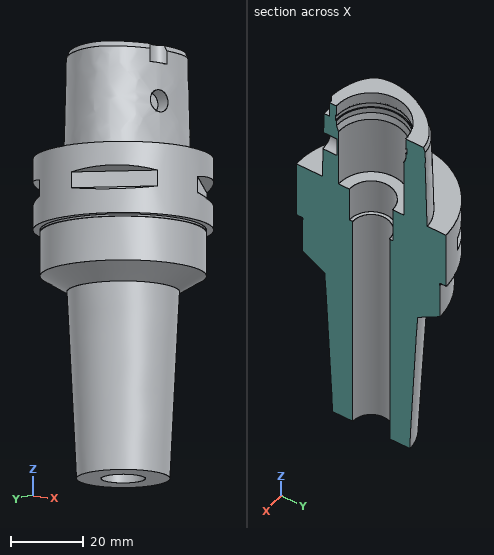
import cadquery as cq
import math

total_height = 120.0
shank_length = 30.0
flange_height = 20.0
neck_bottom_z = 57.0
cone_bottom_z = 52.5
shank_base_z = total_height - shank_length
flange_bottom_z = shank_base_z - flange_height

flange_radius = 50.0 / 2
neck_radius = 46.1 / 2
nose_top_radius = 15.6
nose_tip_radius = 13.0
undercut_depth = 0.2
undercut_height = 0.6

shank_base_radius = 17.58
shank_taper = 1 / 40
lobe_height = 1.2
outline_point_count = 48
shank_chamfer_height = 1.5
shank_chamfer_width = 0.6

mouth_radius = 11.5
groove_radius = 11.9
groove_top_depth = 4.0
groove_bottom_depth = 5.8
seat_top_depth = 7.7
seat_bottom_depth = 9.6
inner_radius = 10.8
inner_depth = shank_length
pilot_radius = 7.2
pilot_depth = 42.0
through_radius = 6.1

notch_radius = 3.6
notch_center_y = -17.5
notch_depth = 5.3
index_radius = 3.1
index_depth = 16.1
index_floor_y = -11.4

flat_count = 4
flat_distance = 22.0
flat_height = 4.5
flat_mouth_height = 6.7
flat_center_z = 80.0


def revolve_profile(points):
    """Revolve (radius, z) points about the Z axis."""
    return cq.Workplane("XZ").polyline(points).close().revolve(360, (0, 0, 0), (0, 1, 0))


def polygon_wire(mean_radius, z):
    """Three-lobed constant-width outline with a lobe toward +Y."""
    points = []
    for index in range(outline_point_count):
        angle = 2 * math.pi * index / outline_point_count
        radial = mean_radius - lobe_height * math.sin(3 * angle)
        tangential = -3 * lobe_height * math.cos(3 * angle)
        points.append(cq.Vector(
            radial * math.cos(angle) - tangential * math.sin(angle),
            radial * math.sin(angle) + tangential * math.cos(angle),
            z,
        ))
    return cq.Wire.assembleEdges([cq.Edge.makeSpline(points, periodic=True)])


def make_shank():
    chamfer_z = total_height - shank_chamfer_height
    chamfer_radius = shank_base_radius - shank_taper * (chamfer_z - shank_base_z)
    base = polygon_wire(shank_base_radius, shank_base_z)
    shoulder = polygon_wire(chamfer_radius, chamfer_z)
    top = polygon_wire(chamfer_radius - shank_chamfer_width, total_height)
    return cq.Workplane(cq.Solid.makeLoft([base, shoulder, top], True))


def make_body():
    return revolve_profile([
        (0, 0),
        (nose_tip_radius, 0),
        (nose_top_radius, cone_bottom_z),
        (neck_radius, neck_bottom_z),
        (neck_radius, flange_bottom_z - undercut_height),
        (neck_radius - undercut_depth, flange_bottom_z - undercut_height),
        (neck_radius, flange_bottom_z),
        (flange_radius, flange_bottom_z),
        (flange_radius, shank_base_z),
        (0, shank_base_z),
    ])


def make_bore():
    steps = [
        (mouth_radius, 0),
        (mouth_radius, groove_top_depth),
        (groove_radius, groove_top_depth),
        (groove_radius, groove_bottom_depth),
        (mouth_radius, groove_bottom_depth),
        (mouth_radius, seat_top_depth),
        (inner_radius, seat_bottom_depth),
        (inner_radius, inner_depth),
        (pilot_radius, inner_depth),
        (pilot_radius, pilot_depth),
        (through_radius, pilot_depth),
        (through_radius, total_height),
    ]
    wall = [(radius, total_height - depth) for radius, depth in steps]
    return revolve_profile([(0, total_height)] + wall + [(0, 0)])


def make_notch():
    floor = cq.Workplane("XY").workplane(offset=total_height - notch_depth)
    return floor.center(0, notch_center_y).circle(notch_radius).extrude(notch_depth)


def make_index_hole():
    floor = cq.Workplane("XZ", origin=(0, index_floor_y, total_height - index_depth))
    return floor.circle(index_radius).extrude(shank_base_radius)


def make_flat_cutter(angle):
    """Flared slot whose walls open outward from a flat floor."""
    floor_half = flat_height / 2
    mouth_half = flat_mouth_height / 2
    section = cq.Workplane("XZ", origin=(0, 0, flat_center_z)).polyline([
        (flat_distance, -floor_half),
        (flange_radius, -mouth_half),
        (flange_radius, mouth_half),
        (flat_distance, floor_half),
    ]).close()
    cutter = section.extrude(flange_radius, both=True)
    return cutter.rotate((0, 0, 0), (0, 0, 1), angle)


result = make_body().union(make_shank())
result = result.cut(make_bore()).cut(make_notch()).cut(make_index_hole())
for index in range(flat_count):
    result = result.cut(make_flat_cutter(45 + index * 360 / flat_count))